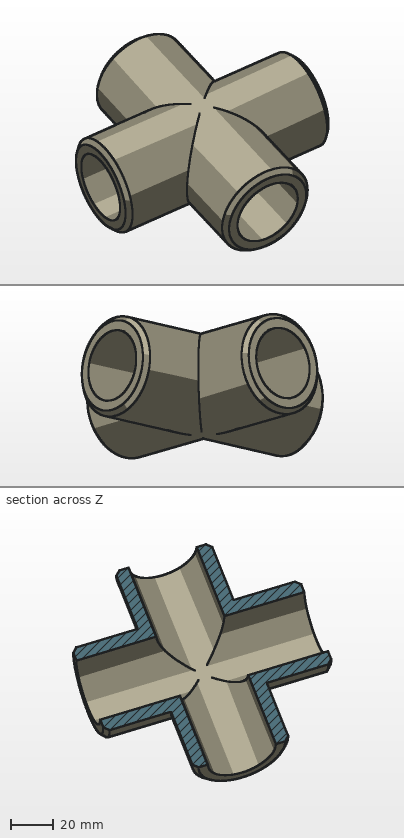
import cadquery as cq

length = 114.3
outer_diameter = 48.2
bore_diameter = 34.0
end_chamfer = 2.4


def centred_cylinder(plane, diameter):
    """Full-length cylinder through the origin, along the plane's normal."""
    return cq.Workplane(plane).circle(diameter / 2).extrude(length / 2, both=True)


def chamfered_bar(plane, end_selector):
    """Solid bar with its outer edge chamfered at both ends."""
    return centred_cylinder(plane, outer_diameter).faces(end_selector).edges().chamfer(end_chamfer)


result = chamfered_bar("YZ", "|X").union(chamfered_bar("XZ", "|Y"))

for bore_plane in ("YZ", "XZ"):
    result = result.cut(centred_cylinder(bore_plane, bore_diameter))